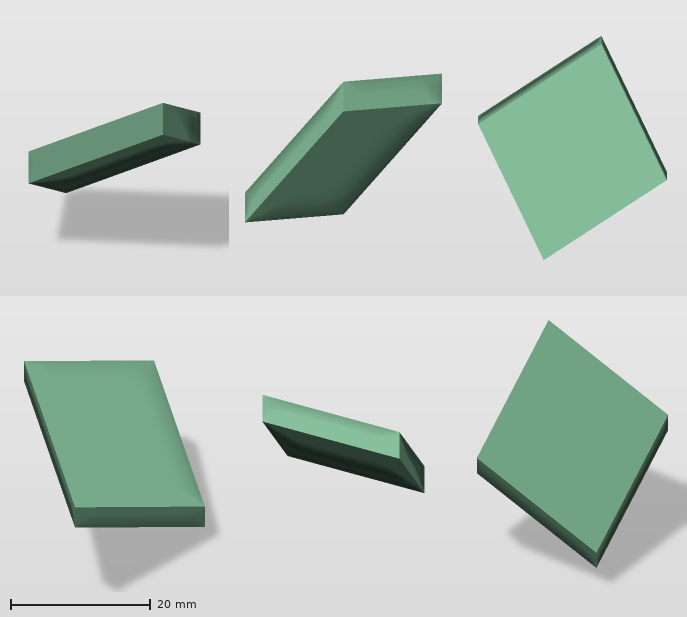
import cadquery as cq

side = 20.0
thickness = 5.0
slope = 0.5

half_side = side / 2


def bottom_corner(x, y):
    """Point of the tilted bottom plane above or below (x, y)."""
    return cq.Vector(x, y, slope * (x - y) - thickness / 2)


bottom_outline = cq.Wire.makePolygon(
    [
        bottom_corner(-half_side, -half_side),
        bottom_corner(half_side, -half_side),
        bottom_corner(half_side, half_side),
        bottom_corner(-half_side, half_side),
    ],
    close=True,
)

bottom_face = cq.Face.makeFromWires(bottom_outline)
slab = cq.Solid.extrudeLinear(bottom_face, cq.Vector(0, 0, thickness))

result = cq.Workplane("XY").newObject([slab])